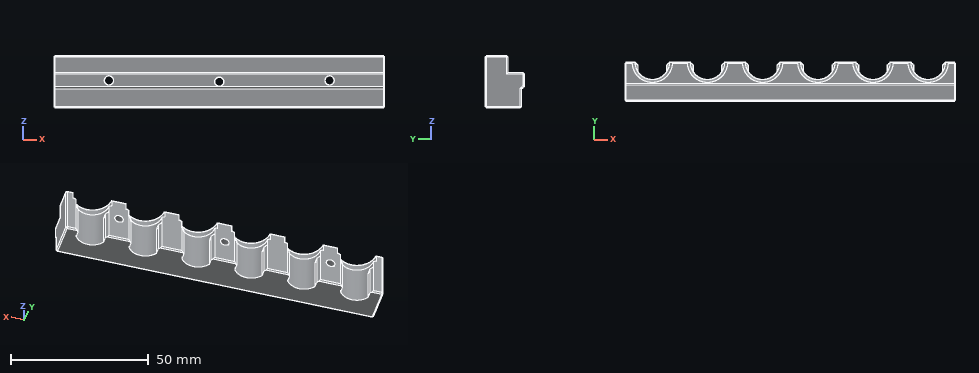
import cadquery as cq

LENGTH = 120.0
DEPTH = 14.2
HEIGHT = 19.0

WALL_DEPTH = 8.3
BASE_DEPTH = 13.2
SHELF_Z = HEIGHT - 6.1
NOSE_BOTTOM_Z = HEIGHT - 11.2
NOSE_BEVEL_HEIGHT = DEPTH - BASE_DEPTH
EDGE_CHAMFER = 0.5

CRADLE_COUNT = 6
PITCH = LENGTH / CRADLE_COUNT
RECESS_RADIUS = 7.3
RECESS_DEPTH = 3.0
BORE_RADIUS = 6.2
CONE_HEIGHT = 0.6

MOUTH_HALF_WIDTH = 5.2
RAMP_DEPTH = 6.2
RAMP_HEIGHT = 0.6
TIP_OVERHANG = BORE_RADIUS - MOUTH_HALF_WIDTH

HOLE_DIAMETER = 3.2
OUTER_HOLE_X = 2 * PITCH
OUTER_HOLE_Z = HEIGHT - 9.0
CENTER_HOLE_Z = HEIGHT / 2


def make_bar():
    section = [
        (0, 0),
        (-BASE_DEPTH, 0),
        (-BASE_DEPTH, NOSE_BOTTOM_Z - NOSE_BEVEL_HEIGHT),
        (-DEPTH, NOSE_BOTTOM_Z),
        (-DEPTH, SHELF_Z),
        (-WALL_DEPTH, SHELF_Z),
        (-WALL_DEPTH, HEIGHT),
        (0, HEIGHT),
    ]
    bar = cq.Workplane("YZ").polyline(section).close().extrude(LENGTH / 2, both=True)
    nose_edge = bar.edges(cq.NearestToPointSelector((0, -DEPTH, SHELF_Z)))
    outer_edges = bar.faces("<X or >X or <Z or >Z or >Y").edges()
    return outer_edges.add(nose_edge).chamfer(EDGE_CHAMFER)


def make_snap_tip():
    """Tip on the +X side of the mouth, reaching from the bore wall to the narrow mouth."""
    ramp_top = HEIGHT - RAMP_DEPTH
    ramp_profile = [
        (MOUTH_HALF_WIDTH, 0),
        (BORE_RADIUS, 0),
        (BORE_RADIUS, ramp_top),
        (MOUTH_HALF_WIDTH, ramp_top - RAMP_HEIGHT),
    ]
    ramp = cq.Workplane("XZ").polyline(ramp_profile).close().extrude(BORE_RADIUS)
    plan = [
        (BORE_RADIUS, 0),
        (MOUTH_HALF_WIDTH, -TIP_OVERHANG),
        (MOUTH_HALF_WIDTH, -BORE_RADIUS),
        (BORE_RADIUS, -BORE_RADIUS),
    ]
    return ramp.intersect(cq.Workplane("XY").polyline(plan).close().extrude(HEIGHT))


def make_cradle_cutter():
    profile = [
        (0, 0),
        (BORE_RADIUS, 0),
        (BORE_RADIUS, HEIGHT - RECESS_DEPTH - CONE_HEIGHT),
        (RECESS_RADIUS, HEIGHT - RECESS_DEPTH),
        (RECESS_RADIUS, HEIGHT),
        (0, HEIGHT),
    ]
    cutter = cq.Workplane("XZ").polyline(profile).close().revolve(360, (0, 0, 0), (0, 1, 0))
    tip = make_snap_tip()
    return cutter.cut(tip).cut(tip.mirror("YZ"))


result = make_bar()

cradle_cutter = make_cradle_cutter()
for index in range(CRADLE_COUNT):
    cradle_x = (index + 0.5) * PITCH - LENGTH / 2
    result = result.cut(cradle_cutter.translate((cradle_x, 0, 0)))

hole_positions = [
    (-OUTER_HOLE_X, OUTER_HOLE_Z),
    (0, CENTER_HOLE_Z),
    (OUTER_HOLE_X, OUTER_HOLE_Z),
]
for hole_x, hole_z in hole_positions:
    hole = cq.Workplane("XZ").center(hole_x, hole_z).circle(HOLE_DIAMETER / 2).extrude(DEPTH)
    result = result.cut(hole)